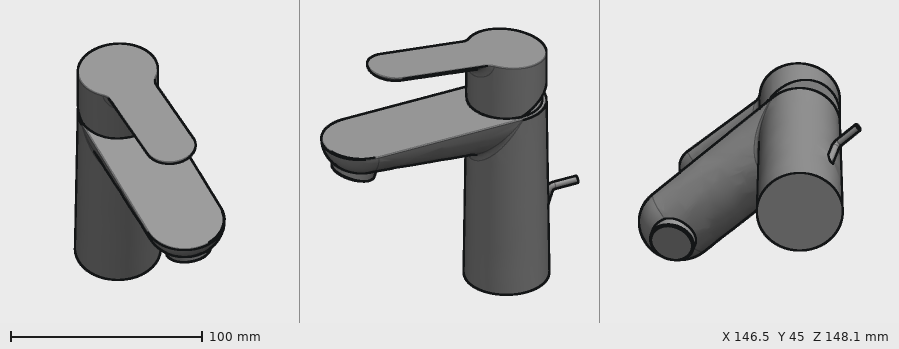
import cadquery as cq
import math

COLUMN_BASE_RADIUS = 22.5
COLUMN_TOP_RADIUS = 21.0
COLUMN_HEIGHT = 106.8
RIM_ROUND = 0.6

SPOUT_REACH = 105.6
SPOUT_ROOT_DEPTH = 27.7
SPOUT_TIP_DEPTH = 17.6
SPOUT_BLEND_RADIUS = 5.2

DOME_RADIUS = 21.0
DOME_CENTRE_DEPTH = 9.5

AERATOR_DIAMETER = 23.5
AERATOR_TILT = 18.6
AERATOR_FACE_X = 89.8
AERATOR_FACE_Z = 87.4
AERATOR_LENGTH = 11.9
AERATOR_CHAMFER = 0.7

HEAD_RADIUS = COLUMN_TOP_RADIUS
HEAD_BOTTOM_Z = 108.0
HEAD_BACK_BOTTOM_Z = 119.1
RELIEF_END_X = 2.2
HANDLE_EDGE_ROUND = 0.5
HANDLE_TIP_X = 79.9
HANDLE_TIP_Z = 148.2
HANDLE_TILT = 6.9
GRIP_HALF_WIDTH = 13.3
GRIP_ROOT_DEPTH = 6.1
GRIP_TIP_DEPTH = 5.3
GRIP_BLEND_RADIUS = 6.7

ROD_DIAMETER = 4.0
ROD_TIP_X = -40.9
ROD_Z = 45.8
ROD_BEND_START_X = -27.7
ROD_BEND_RADIUS = 3.1
ROD_BEND_ANGLE = 72.0
ROD_LEG_LENGTH = 20.7


def tongue(half_width, root_depth, tip_depth, reach):
    """Flat-topped bar along +X, half-elliptical below, with a rounded end at x = reach."""
    end_axis_x = reach - half_width
    bar = (
        cq.Workplane("YZ")
        .moveTo(-half_width, 0)
        .ellipseArc(half_width, root_depth, 180, 360)
        .close()
        .workplane(offset=end_axis_x)
        .moveTo(-half_width, 0)
        .ellipseArc(half_width, tip_depth, 180, 360)
        .close()
        .loft(ruled=True)
    )
    end = (
        cq.Workplane("XZ")
        .moveTo(half_width, 0)
        .lineTo(0, 0)
        .lineTo(0, -tip_depth)
        .ellipseArc(half_width, tip_depth, 270, 360)
        .close()
        .revolve(360, (0, 0, 0), (0, 1, 0))
        .translate((end_axis_x, 0, 0))
    )
    return bar.union(end)


def make_aerator():
    """Short tilted cylinder whose upper end is buried in the spout."""
    tilt = math.radians(AERATOR_TILT)
    outlet = cq.Plane(
        origin=(AERATOR_FACE_X, 0, AERATOR_FACE_Z),
        xDir=(0, 1, 0),
        normal=(-math.sin(tilt), 0, math.cos(tilt)),
    )
    return (
        cq.Workplane(outlet)
        .circle(AERATOR_DIAMETER / 2)
        .extrude(AERATOR_LENGTH)
        .faces("<Z")
        .chamfer(AERATOR_CHAMFER)
    )


def make_rod():
    """Round rod, level at its tip, bent down into the column."""
    bend = math.radians(ROD_BEND_ANGLE)
    half_bend = bend / 2
    centre_z = ROD_Z - ROD_BEND_RADIUS
    bend_middle = (
        ROD_BEND_START_X + ROD_BEND_RADIUS * math.sin(half_bend),
        centre_z + ROD_BEND_RADIUS * math.cos(half_bend),
    )
    bend_end = (
        ROD_BEND_START_X + ROD_BEND_RADIUS * math.sin(bend),
        centre_z + ROD_BEND_RADIUS * math.cos(bend),
    )
    leg_end = (
        bend_end[0] + ROD_LEG_LENGTH * math.cos(bend),
        bend_end[1] - ROD_LEG_LENGTH * math.sin(bend),
    )
    path = (
        cq.Workplane("XZ")
        .moveTo(ROD_TIP_X, ROD_Z)
        .lineTo(ROD_BEND_START_X, ROD_Z)
        .threePointArc(bend_middle, bend_end)
        .lineTo(*leg_end)
    )
    return cq.Workplane("YZ", origin=(ROD_TIP_X, 0, ROD_Z)).circle(ROD_DIAMETER / 2).sweep(path)


def make_dome():
    """Spherical cap over the cartridge, standing on the column top."""
    centre_z = COLUMN_HEIGHT - DOME_CENTRE_DEPTH
    above_column = (
        cq.Workplane("XY", origin=(0, 0, COLUMN_HEIGHT))
        .circle(COLUMN_TOP_RADIUS)
        .extrude(DOME_RADIUS)
    )
    return cq.Workplane("XY", origin=(0, 0, centre_z)).sphere(DOME_RADIUS).intersect(above_column)


def make_rim_cutter():
    """Ring that rounds the rim of the flat top shared by the column and the spout."""
    end_axis_x = SPOUT_REACH - COLUMN_TOP_RADIUS

    def slab(half_width, height):
        length = end_axis_x + 2 * half_width
        return (
            cq.Workplane("XY", origin=(end_axis_x / 2, 0, COLUMN_HEIGHT - height))
            .slot2D(length, 2 * half_width)
            .extrude(height)
        )

    rounded_top = slab(COLUMN_TOP_RADIUS, 2 * RIM_ROUND).faces(">Z").edges().fillet(RIM_ROUND)
    return slab(COLUMN_BASE_RADIUS, RIM_ROUND).cut(rounded_top)


def make_housing(dome, rod):
    """Tapered column with spout, aerator and dome; the rod sits in a matching hole."""
    column = cq.Workplane(cq.Solid.makeCone(COLUMN_BASE_RADIUS, COLUMN_TOP_RADIUS, COLUMN_HEIGHT))
    spout = tongue(COLUMN_TOP_RADIUS, SPOUT_ROOT_DEPTH, SPOUT_TIP_DEPTH, SPOUT_REACH)
    spout = spout.translate((0, 0, COLUMN_HEIGHT))
    spout_joint = cq.selectors.BoxSelector(
        (-RIM_ROUND, -COLUMN_BASE_RADIUS, COLUMN_HEIGHT - SPOUT_ROOT_DEPTH),
        (COLUMN_BASE_RADIUS, COLUMN_BASE_RADIUS, COLUMN_HEIGHT + RIM_ROUND),
        boundingbox=True,
    )
    housing = column.union(spout).edges(spout_joint).fillet(SPOUT_BLEND_RADIUS)
    housing = housing.cut(make_rim_cutter())
    return housing.union(make_aerator()).union(dome).cut(rod)


def make_head(top_z_at_axis, tilt):
    """Cylinder with a tilted top and an underside that slopes up towards the back."""
    rise = HEAD_RADIUS * math.tan(tilt)
    side_outline = (
        cq.Workplane("XZ")
        .moveTo(-HEAD_RADIUS, HEAD_BACK_BOTTOM_Z)
        .lineTo(RELIEF_END_X, HEAD_BOTTOM_Z)
        .lineTo(HEAD_RADIUS, HEAD_BOTTOM_Z)
        .lineTo(HEAD_RADIUS, top_z_at_axis + rise)
        .lineTo(-HEAD_RADIUS, top_z_at_axis - rise)
        .close()
        .extrude(HEAD_RADIUS, both=True)
    )
    return cq.Workplane("XY").circle(HEAD_RADIUS).extrude(HANDLE_TIP_Z).intersect(side_outline)


def make_handle(dome):
    """Head and grip under one tilted flat top, with a recess that fits the dome."""
    tilt = math.radians(HANDLE_TILT)
    top_z_at_axis = HANDLE_TIP_Z - HANDLE_TIP_X * math.tan(tilt)
    grip = (
        tongue(GRIP_HALF_WIDTH, GRIP_ROOT_DEPTH, GRIP_TIP_DEPTH, HANDLE_TIP_X / math.cos(tilt))
        .rotate((0, 0, 0), (0, 1, 0), -HANDLE_TILT)
        .translate((0, 0, top_z_at_axis))
    )
    grip_joint = cq.selectors.BoxSelector(
        (HEAD_RADIUS / 2, -HEAD_RADIUS, top_z_at_axis - GRIP_ROOT_DEPTH),
        (HEAD_RADIUS + GRIP_BLEND_RADIUS, HEAD_RADIUS, HANDLE_TIP_Z),
        boundingbox=True,
    )
    top_normal = cq.Vector(-math.sin(tilt), 0, math.cos(tilt))
    flat_top = cq.selectors.DirectionMinMaxSelector(top_normal)
    handle = make_head(top_z_at_axis, tilt).union(grip).edges(grip_joint).fillet(GRIP_BLEND_RADIUS)
    handle = handle.faces(flat_top).edges().fillet(HANDLE_EDGE_ROUND)
    handle = handle.faces("<Z").edges("%CIRCLE").fillet(HANDLE_EDGE_ROUND)
    return handle.cut(dome)


dome = make_dome()
rod = make_rod()
housing = make_housing(dome, rod)
handle = make_handle(dome)

result = cq.Compound.makeCompound([housing.val(), handle.val(), rod.val()])